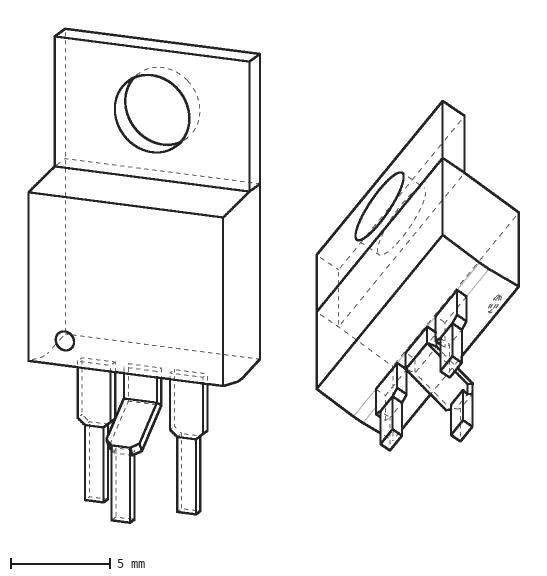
import cadquery as cq
import math

width = 10.67
total_height = 23.85
total_depth = 5.46

tab_thickness = 1.38
hole_diameter = 4.08
hole_z = 20.42

housing_depth = 4.8
housing_bottom = 7.33
housing_top = 16.96
bottom_bevel = 0.33
top_bevel = 0.35

mark_diameter = 1.0
mark_depth = 0.1
mark_x = -3.35
mark_z = 8.97

lead_pitch = 2.53
lead_thickness = 0.6
lead_back = 2.31
shank_width = 1.81
pin_width = 1.03
pin_top = 3.98
taper_length = 0.33
lead_front = lead_back + lead_thickness

arm_angle = 33.3
arm_end_top = pin_top
front_pin_back = total_depth - lead_thickness
arm_slope = math.tan(math.radians(arm_angle))
arm_root_top = arm_end_top + (total_depth - lead_front) * arm_slope
arm_root_height = lead_thickness / math.cos(math.radians(arm_angle))
bend_back_z = arm_root_top - arm_root_height + lead_thickness * arm_slope


def block(center_x, size_x, back, depth, bottom, top):
    """Box centred on center_x, extending forward (-Y) from its back face."""
    return (
        cq.Workplane("XY")
        .box(size_x, depth, top - bottom, centered=(True, False, False))
        .translate((center_x, -back - depth, bottom))
    )


def make_tab():
    tab = block(0, width, 0, tab_thickness, housing_top, total_height)
    hole = (
        cq.Workplane("XZ")
        .center(0, hole_z)
        .circle(hole_diameter / 2)
        .extrude(tab_thickness)
    )
    return tab.cut(hole)


def make_mark():
    return (
        cq.Workplane("XZ", origin=(0, mark_depth - housing_depth, 0))
        .center(mark_x, mark_z)
        .circle(mark_diameter / 2)
        .extrude(mark_depth)
    )


def make_housing(mark):
    """Side profile extruded across the width, with a recess for the mark."""
    profile = [
        (0, housing_top),
        (-tab_thickness, housing_top),
        (-housing_depth, housing_top - top_bevel),
        (-housing_depth, housing_bottom + bottom_bevel),
        (-lead_front, housing_bottom),
        (-lead_back, housing_bottom),
        (0, housing_bottom + bottom_bevel),
    ]
    body = cq.Workplane("YZ").polyline(profile).close().extrude(width / 2, both=True)
    return body.cut(mark)


def tapered_outline(workplane, length):
    """Shank outline hanging down from the workplane origin, narrowed at its end."""
    half_wide = shank_width / 2
    half_narrow = pin_width / 2
    points = [
        (-half_wide, 0),
        (half_wide, 0),
        (half_wide, taper_length - length),
        (half_narrow, -length),
        (-half_narrow, -length),
        (-half_wide, taper_length - length),
    ]
    return workplane.polyline(points).close()


def make_outer_shank(center_x):
    start = cq.Workplane("XZ", origin=(center_x, -lead_back, housing_bottom))
    return tapered_outline(start, housing_bottom - pin_top).extrude(lead_thickness)


def make_middle_shank():
    """Straight shank whose lower end is mitred to meet the arm at the bend."""
    side_profile = [
        (-lead_back, housing_bottom),
        (-lead_front, housing_bottom),
        (-lead_front, arm_root_top),
        (-lead_back, bend_back_z),
    ]
    return cq.Workplane("YZ").polyline(side_profile).close().extrude(shank_width / 2, both=True)


def make_arm(shank):
    """Sloping flat arm, trimmed flush with the shank back and mitred against it."""
    angle = math.radians(arm_angle)
    upper_normal = (0, -math.sin(angle), math.cos(angle))
    start_y = -lead_back
    start_z = arm_root_top + lead_thickness * arm_slope
    length = (total_depth - lead_back) / math.cos(angle)
    upper_face = cq.Plane(origin=(0, start_y, start_z), xDir=(1, 0, 0), normal=upper_normal)
    arm = tapered_outline(cq.Workplane(upper_face), length).extrude(-lead_thickness)
    behind_shank = block(0, width, 0, lead_back, 0, housing_top)
    return arm.cut(behind_shank).cut(shank)


def make_pin(center_x, back):
    return block(center_x, pin_width, back, lead_thickness, 0, pin_top)


tab = make_tab()
mark = make_mark()
housing = make_housing(mark)

outer_shanks = []
outer_pins = []
for side in (-1, 1):
    outer_shanks.append(make_outer_shank(side * lead_pitch))
    outer_pins.append(make_pin(side * lead_pitch, lead_back))

middle_shank = make_middle_shank()
arm = make_arm(middle_shank)
middle_pin = make_pin(0, front_pin_back).cut(arm)

result = cq.Compound.makeCompound([
    housing.val(),
    tab.val(),
    mark.val(),
    *[shank.val() for shank in outer_shanks],
    *[pin.val() for pin in outer_pins],
    middle_shank.val(),
    arm.val(),
    middle_pin.val(),
])